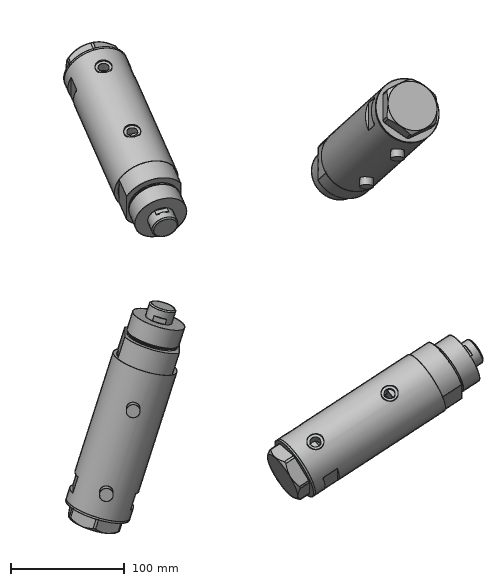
import cadquery as cq
import math


hex_length = 12.8
flange_end = 14.7
spigot_end = 38.5
piston_end = 62.8
gland_start = 116.5
housing_end = 155.3
head_end = 176.2
relief_start = 177.0
relief_end = 178.0
collar_start = 179.0
collar_end = 196.3
rod_end = 209.3

housing_radius = 29.5
bore_radius = 18.8
sleeve_radius = 26.2
thread_radius = 23.2
head_radius = 29.3
relief_radius = 22.5
collar_radius = 24.0
rod_radius = 12.1

hex_across_flats = 46.0
hex_corner_radius = 26.0
hex_face_radius = 22.8
hex_chamfer_length = 3.0

wrench_slot_start = 25.0
wrench_slot_end = 40.4
wrench_slot_half_width = 26.5
head_flat_half_width = 25.1

port_positions = (35.5, 116.0)
port_radius = 4.8
spotface_radius = 7.5
spotface_depth = 1.7

stud_positions = (39.0, 119.5)
stud_radius = 6.0
stud_bottom = -36.6

rod_chamfer = 1.3
rod_flat_end = 201.3
rod_flat_half_height = 10.7


def cylinder_x(radius, start, end):
    """Solid cylinder on the X axis between two stations."""
    return cq.Workplane("YZ", origin=(start, 0, 0)).circle(radius).extrude(end - start)


def cylinder_z(radius, x, bottom, top):
    """Solid upright cylinder at a station on the X axis."""
    return cq.Workplane("XY", origin=(x, 0, bottom)).circle(radius).extrude(top - bottom)


def turned(points):
    """Solid of revolution about the X axis from (x, radius) points."""
    return cq.Workplane("XY").polyline(points).close().revolve(360, (0, 0, 0), (1, 0, 0))


def cut_side_flats(body, start, end, half_width):
    """Cut a body flat on its +Y and -Y sides between two stations."""
    length = end - start
    width = 2 * housing_radius
    kept = cq.Workplane("XY").box(length, 2 * half_width, width)
    removed = cq.Workplane("XY").box(length, width, width).cut(kept)
    return body.cut(removed.translate((start + length / 2, 0, 0)))


def make_cap():
    hex_corner_diameter = hex_across_flats / math.cos(math.pi / 6)
    head = (
        cq.Workplane("YZ")
        .transformed(rotate=(0, 0, 90))
        .polygon(6, hex_corner_diameter)
        .extrude(hex_length)
    )
    rounding = turned([
        (0, 0),
        (0, hex_face_radius),
        (hex_chamfer_length, hex_corner_radius),
        (hex_length, hex_corner_radius),
        (hex_length, 0),
    ])
    flange = cylinder_x(housing_radius, hex_length, flange_end)
    spigot = cylinder_x(bore_radius, flange_end, spigot_end)
    return head.intersect(rounding).union(flange).union(spigot)


def make_housing():
    body = cylinder_x(housing_radius, flange_end, housing_end)
    body = cut_side_flats(body, wrench_slot_start, wrench_slot_end, wrench_slot_half_width)

    for x in stud_positions:
        body = body.union(cylinder_z(stud_radius, x, stud_bottom, -bore_radius))

    body = body.cut(cylinder_x(bore_radius, flange_end, gland_start))
    body = body.cut(cylinder_x(sleeve_radius, gland_start, housing_end))

    for x in port_positions:
        body = body.cut(cylinder_z(port_radius, x, 0, housing_radius))
        spotface_floor = housing_radius - spotface_depth
        body = body.cut(cylinder_z(spotface_radius, x, spotface_floor, housing_radius))
    return body


def make_gland():
    body = turned([
        (gland_start, rod_radius),
        (gland_start, sleeve_radius),
        (housing_end, sleeve_radius),
        (housing_end, head_radius),
        (head_end, head_radius),
        (head_end, thread_radius),
        (relief_start, relief_radius),
        (relief_end, relief_radius),
        (collar_start, collar_radius),
        (collar_end, collar_radius),
        (collar_end, rod_radius),
    ])
    return cut_side_flats(body, housing_end, head_end, head_flat_half_width)


def make_piston_rod():
    rod = cylinder_x(rod_radius, spigot_end, rod_end).faces(">X").chamfer(rod_chamfer)
    piston = cylinder_x(bore_radius, spigot_end, piston_end)

    flat_length = rod_flat_end - collar_end
    flat_center = (collar_end + rod_flat_end) / 2
    rod_diameter = 2 * rod_radius
    kept = cq.Workplane("XY").box(flat_length, rod_diameter, 2 * rod_flat_half_height)
    removed = cq.Workplane("XY").box(flat_length, rod_diameter, rod_diameter).cut(kept)
    return rod.union(piston).cut(removed.translate((flat_center, 0, 0)))


cap = make_cap()
housing = make_housing()
gland = make_gland()
piston_rod = make_piston_rod()

result = cq.Compound.makeCompound([cap.val(), housing.val(), gland.val(), piston_rod.val()])